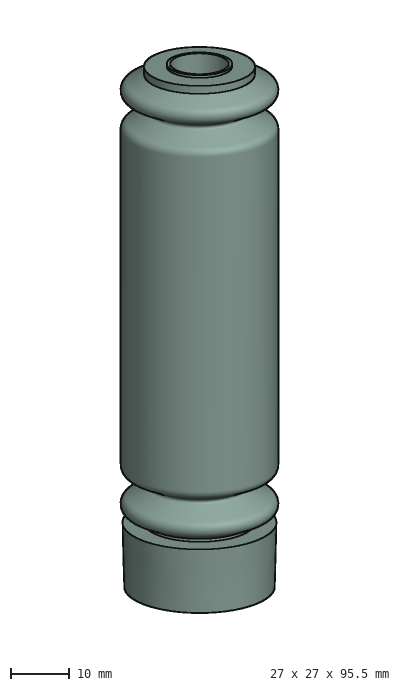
import cadquery as cq
import math

total_height = 95.5
body_radius = 27.0 / 2
bore_radius = 10.0 / 2

lip_radius = 11.2 / 2
lip_height = 0.5
collar_radius = 19.0 / 2
collar_height = 1.4

flank_angle = math.radians(26)
crest_round = 1.5
root_round = 0.43
groove_offset = 3.58
top_bead_z = 90.7
bottom_bead_z = 15.2

foot_height = 11.7
foot_top_radius = 13.2
foot_bottom_radius = 12.9

crest_centre_radius = body_radius - crest_round
crest_tangent_radius = crest_centre_radius + crest_round * math.sin(flank_angle)
crest_tangent_offset = crest_round * math.cos(flank_angle)
root_tangent_offset = root_round * math.cos(flank_angle)
flank_height = groove_offset - crest_tangent_offset - root_tangent_offset
root_tangent_radius = crest_tangent_radius - flank_height / math.tan(flank_angle)
root_radius = root_tangent_radius - root_round * (1 - math.sin(flank_angle))

neck_offset = crest_tangent_offset + (crest_tangent_radius - collar_radius) * math.tan(flank_angle)


def add_bead(profile, centre_z):
    """Continue the profile upward around a full rounded bead."""
    return profile.lineTo(crest_tangent_radius, centre_z - crest_tangent_offset).threePointArc(
        (body_radius, centre_z), (crest_tangent_radius, centre_z + crest_tangent_offset)
    )


def add_groove_root(profile, centre_z):
    """Continue the profile upward through the rounded root of a V groove."""
    return profile.lineTo(root_tangent_radius, centre_z - root_tangent_offset).threePointArc(
        (root_radius, centre_z), (root_tangent_radius, centre_z + root_tangent_offset)
    )


def add_body(profile, start_z, end_z):
    """Continue the profile upward along the straight body and its two rounded edges."""
    diagonal_radius = crest_centre_radius + crest_round * math.cos(math.pi / 6)
    diagonal_offset = crest_round * math.sin(math.pi / 6)
    profile = profile.lineTo(crest_tangent_radius, start_z - crest_tangent_offset)
    profile = profile.threePointArc((diagonal_radius, start_z - diagonal_offset), (body_radius, start_z))
    profile = profile.lineTo(body_radius, end_z)
    return profile.threePointArc(
        (diagonal_radius, end_z + diagonal_offset),
        (crest_tangent_radius, end_z + crest_tangent_offset),
    )


profile = cq.Workplane("XZ").moveTo(bore_radius, 0).lineTo(foot_bottom_radius, 0)
profile = profile.lineTo(foot_top_radius, foot_height)
profile = profile.lineTo(collar_radius, foot_height)
profile = profile.lineTo(collar_radius, bottom_bead_z - neck_offset)
profile = add_bead(profile, bottom_bead_z)
profile = add_groove_root(profile, bottom_bead_z + groove_offset)
profile = add_body(profile, bottom_bead_z + 2 * groove_offset, top_bead_z - 2 * groove_offset)
profile = add_groove_root(profile, top_bead_z - groove_offset)
profile = add_bead(profile, top_bead_z)

collar_top_z = total_height - lip_height
profile = profile.lineTo(collar_radius, collar_top_z - collar_height)
profile = profile.lineTo(collar_radius, collar_top_z)
profile = profile.lineTo(lip_radius, collar_top_z)
profile = profile.lineTo(lip_radius, total_height)
profile = profile.lineTo(bore_radius, total_height).close()

result = profile.revolve(360, (0, 0, 0), (0, 1, 0))